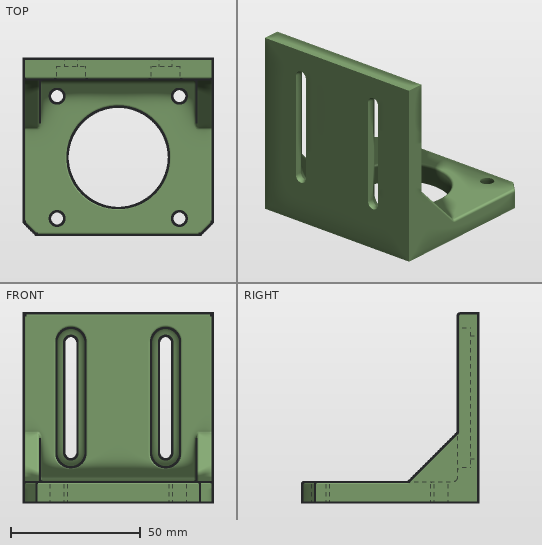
import cadquery as cq

width = 73.0
depth = 68.0
height = 73.0
wall = 8.0
plate = 8.0
corner_cut = 5.0

rib_width = 6.25
rib_reach = 27.0

edge_round = 1.0
root_cove = 2.0

bore_diameter = 39.0
bore_from_back = 38.0
screw_diameter = 5.5
screw_spacing = 47.14

slot_spacing = width / 2
slot_width = 5.0
slot_travel = 42.5
slot_center_z = 40.5
recess_width = 11.25
recess_depth = 5.0

wall_face_y = depth - wall
rib_toe_y = depth - rib_reach
rib_side_x = width / 2 - rib_width
bore_y = depth - bore_from_back
tolerance = 0.01


def edges_centered_in(x_range, y_range, z_range):
    """Selector for edges whose centers lie in a box, with a small margin."""
    low, high = zip(x_range, y_range, z_range)
    return cq.selectors.BoxSelector(
        tuple(value - tolerance for value in low),
        tuple(value + tolerance for value in high),
    )


def angle_plate():
    """L-shaped body with the front corners of the base cut off."""
    body = (
        cq.Workplane("YZ", origin=(-width / 2, 0, 0))
        .moveTo(0, 0)
        .lineTo(depth, 0)
        .lineTo(depth, height)
        .lineTo(wall_face_y, height)
        .lineTo(wall_face_y, plate)
        .lineTo(0, plate)
        .close()
        .extrude(width)
    )
    return body.faces("<Y").edges("|Z").chamfer(corner_cut)


def rib(left_x):
    """Rib whose 45 degree slope runs from the wall down to the base."""
    return (
        cq.Workplane("YZ", origin=(left_x, 0, 0))
        .moveTo(depth, 0)
        .lineTo(rib_toe_y, 0)
        .lineTo(rib_toe_y, plate)
        .lineTo(wall_face_y, rib_reach)
        .lineTo(depth, rib_reach)
        .close()
        .extrude(rib_width)
    )


def rib_outline(x_range):
    """Selector for the edges where one rib meets the base and the wall."""
    on_base = edges_centered_in(x_range, (rib_toe_y, wall_face_y - root_cove), (plate, plate))
    on_wall = edges_centered_in(x_range, (wall_face_y, wall_face_y), (plate + root_cove, rib_reach))
    return on_base + on_wall


def soften_inside(body):
    """Round the inner rib edges, then cove the inside corners."""
    slope_middle_y = (rib_toe_y + wall_face_y) / 2
    slope_middle_z = (plate + rib_reach) / 2
    slopes = edges_centered_in(
        (-rib_side_x, rib_side_x),
        (slope_middle_y, slope_middle_y),
        (slope_middle_z, slope_middle_z),
    )
    body = body.edges(slopes).fillet(edge_round)

    root = edges_centered_in((0, 0), (wall_face_y, wall_face_y), (plate, plate))
    body = body.edges(root).fillet(root_cove)

    left_side = (-width / 2, -rib_side_x)
    right_side = (rib_side_x, width / 2)
    outlines = rib_outline(left_side) + rib_outline(right_side)
    return body.edges(outlines).fillet(edge_round)


def round_outline(body):
    """Round the rim that borders the inner faces of wall, ribs and base."""
    rim = edges_centered_in((0, 0), (wall_face_y, wall_face_y), (height, height))
    rim += edges_centered_in((-width / 2, width / 2), (0, corner_cut), (plate, plate))
    for side_x in (-width / 2, width / 2):
        rim += edges_centered_in((side_x, side_x), (corner_cut, wall_face_y), (plate, height))
    return body.edges(rim).fillet(edge_round)


def cut_motor_holes(body):
    """Bore with a rounded upper rim and four screw holes around it."""
    base = cq.Workplane("XY", origin=(0, bore_y, 0))
    body = body.cut(base.circle(bore_diameter / 2).extrude(plate))
    rim = edges_centered_in((0, 0), (bore_y, bore_y), (plate, plate))
    body = body.edges(rim).fillet(edge_round)
    screws = base.rect(screw_spacing, screw_spacing, forConstruction=True).vertices()
    return body.cut(screws.circle(screw_diameter / 2).extrude(plate))


def wall_slot(slot_x, slot_size, start_y, end_y):
    """Upright slot cutter reaching from start_y to end_y."""
    return (
        cq.Workplane("XZ", origin=(slot_x, end_y, slot_center_z))
        .slot2D(slot_travel + slot_size, slot_size, 90)
        .extrude(end_y - start_y)
    )


def cut_adjustment_slot(body, slot_x):
    """Recess with a rounded rim and a narrower slot through its floor."""
    recess_floor_y = wall_face_y + recess_depth
    body = body.cut(wall_slot(slot_x, recess_width, wall_face_y, recess_floor_y))
    half_width = recess_width / 2
    half_length = slot_travel / 2 + half_width
    rim = edges_centered_in(
        (slot_x - half_width, slot_x + half_width),
        (wall_face_y, wall_face_y),
        (slot_center_z - half_length, slot_center_z + half_length),
    )
    body = body.edges(rim).fillet(edge_round)
    return body.cut(wall_slot(slot_x, slot_width, recess_floor_y, depth))


bracket = angle_plate().union(rib(-width / 2)).union(rib(rib_side_x)).clean()
bracket = soften_inside(bracket)
bracket = round_outline(bracket)
bracket = cut_motor_holes(bracket)
for slot_x in (-slot_spacing / 2, slot_spacing / 2):
    bracket = cut_adjustment_slot(bracket, slot_x)

result = bracket